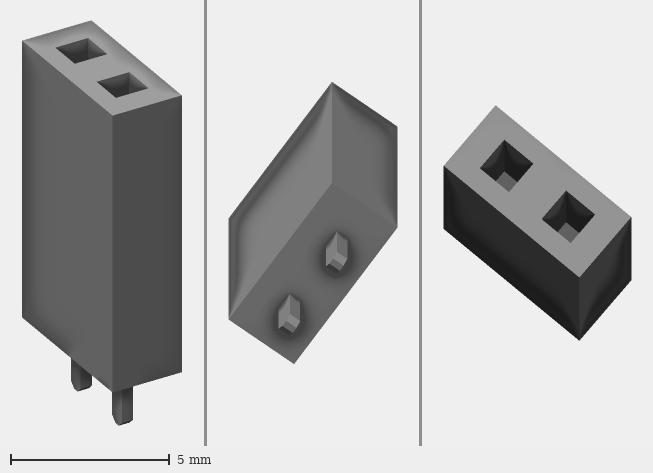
import cadquery as cq

pitch = 2.54
seam_width = 0.5
block_depth = 2.54
block_height = 10.0
total_height = 12.2

opening_side = 1.2
opening_depth = block_height / 2

pin_width = 0.6
pin_thickness = 0.4
pin_length = total_height - block_height
tip_chamfer = 0.2

half_length = pitch + seam_width / 2
joint_x = seam_width / 2


def make_block(x_start, x_end):
    """Plain block standing on Z = 0 between two X positions."""
    return (
        cq.Workplane("XY")
        .center((x_start + x_end) / 2, 0)
        .rect(x_end - x_start, block_depth)
        .extrude(block_height)
    )


def make_opening(contact_x):
    """Square blind pocket cutter, sunk from the top face."""
    return (
        cq.Workplane("XY", origin=(contact_x, 0, block_height))
        .rect(opening_side, opening_side)
        .extrude(-opening_depth)
    )


def make_pin(contact_x):
    """Flat pin hanging below the block, with its tip chamfered on both narrow sides."""
    return (
        cq.Workplane("XY", origin=(contact_x, 0, 0))
        .rect(pin_width, pin_thickness)
        .extrude(-pin_length)
        .faces("<Z")
        .edges("|Y")
        .chamfer(tip_chamfer)
    )


def make_socket(x_start, x_end, contact_x):
    """One body: a block with its contact opening and solder pin."""
    return make_block(x_start, x_end).cut(make_opening(contact_x)).union(make_pin(contact_x))


socket_places = [
    (-half_length, joint_x, -pitch / 2),
    (joint_x, half_length, pitch / 2),
]

sockets = []
for x_start, x_end, contact_x in socket_places:
    sockets.extend(make_socket(x_start, x_end, contact_x).solids().vals())

result = cq.Compound.makeCompound(sockets)